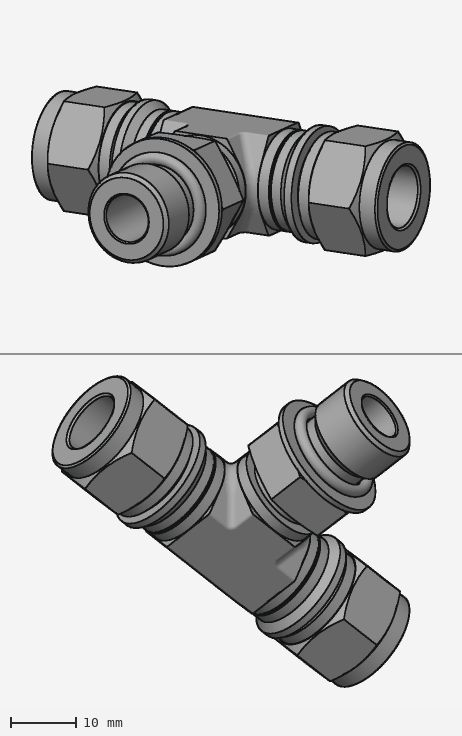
import cadquery as cq
import math


BLOCK_FLATS = 16.0
BLOCK_HALF_LENGTH = 9.3
EDGE_ROUND = 0.5
CROTCH_ROUND = 1.2

HEX_RATIO = math.cos(math.radians(30))

BODY_DIA = 15.8
MARK_GROOVE_DIA = 15.4
MARK_GROOVE_IN = 11.2
MARK_GROOVE_OUT = 11.6
FLANGE_DIA = 18.25
CONE_START = 13.35
FLANGE_IN = 14.65
FLANGE_OUT = 15.9
GAP_DIA = 14.3
COLLAR_DIA = 16.8
COLLAR_IN = 16.7
TUBE_NUT_IN = 18.6
TUBE_NUT_OUT = 27.6
RIM_DIA = 17.0
RUN_END = 30.6
RIM_CHAMFER_LENGTH = 0.25
RIM_CHAMFER_DEPTH = 0.35

NUT_CORNERS = 20.2
NUT_CHAMFER_ANGLE = 30
TUBE_NUT_FACE_DIA = 17.0
LOCK_NUT_FACE_DIA = 17.25
LOCK_NUT_CHAMFER_ANGLE = 14

BRANCH_COLLAR_END = 11.2
NECK_DIA = 12.2
LOCK_NUT_START = 13.4
LOCK_NUT_END = 20.4
WASHER_DIA = 20.2
WASHER_END = 21.3
THREAD_DIA = 14.25
THREAD_CONE_START = 24.3
THREAD_START = 25.4
THREAD_TIP_DIA = 13.05
BRANCH_END = 32.25

RUN_BORE_DIA = 7.1
TUBE_SOCKET_DIA = 9.75
TUBE_SOCKET_MOUTH_DIA = 10.4
TUBE_SOCKET_BOTTOM = 15.4
BRANCH_BORE_DIA = 7.5
BRANCH_MOUTH_DIA = 7.95
BRANCH_BORE_BOTTOM = 2.65
THROAT_DIA = 6.35

RING_SECTION = 1.9
RING_OUTER_DIA = 16.35

TOLERANCE = 0.005

RUN_DIRECTIONS = (cq.Vector(1, 0, 0), cq.Vector(-1, 0, 0))
BRANCH_DIRECTION = cq.Vector(0, -1, 0)
ORIGIN = cq.Vector(0, 0, 0)


def turned(stations, direction):
    """Solid of revolution about `direction` from (distance, diameter) stations."""
    plane = cq.Plane(ORIGIN, xDir=direction, normal=(0, 0, 1))
    outline = [(stations[0][0], 0)]
    outline += [(distance, diameter / 2) for distance, diameter in stations]
    outline += [(stations[-1][0], 0)]
    return cq.Workplane(plane).polyline(outline).close().revolve(360, (0, 0), (1, 0))


def hex_nut(start, end, direction, face_dia, chamfer_angle):
    """Hexagon with flats facing +Z and -Z, both ends chamfered down to `face_dia`."""
    plane = cq.Plane(direction * start, xDir=cq.Vector(0, 0, 1).cross(direction), normal=direction)
    hexagon = cq.Workplane(plane).polygon(6, NUT_CORNERS).extrude(end - start)
    chamfer = (NUT_CORNERS - face_dia) / 2 * math.tan(math.radians(chamfer_angle))
    envelope = turned(
        [
            (start, face_dia),
            (start + chamfer, NUT_CORNERS),
            (end - chamfer, NUT_CORNERS),
            (end, face_dia),
        ],
        direction,
    )
    return hexagon.intersect(envelope)


def block_prism(plane, length, round_both_sides):
    """Hexagonal prism whose negative side corner, or both, is a tangent round."""
    apothem = BLOCK_FLATS / 2
    corner = apothem / HEX_RATIO
    side_u = apothem * HEX_RATIO
    side_v = apothem / 2
    outline = (
        cq.Workplane(plane)
        .moveTo(corner / 2, apothem)
        .lineTo(-corner / 2, apothem)
        .lineTo(-side_u, side_v)
        .threePointArc((-apothem, 0), (-side_u, -side_v))
        .lineTo(-corner / 2, -apothem)
        .lineTo(corner / 2, -apothem)
    )
    if round_both_sides:
        outline = outline.lineTo(side_u, -side_v).threePointArc((apothem, 0), (side_u, side_v))
    else:
        outline = outline.lineTo(corner, 0)
    return outline.close().extrude(length)


def round_crotches(block):
    """Round the two concave corners, which lie in the planes where X and Y are equally far out."""
    crotch = [
        edge
        for edge in block.edges().vals()
        if all(
            math.isclose(abs(edge.positionAt(t).x), -edge.positionAt(t).y, abs_tol=TOLERANCE)
            for t in (0, 0.5, 1)
        )
    ]
    return block.newObject(crotch).fillet(CROTCH_ROUND)


def round_long_edges(block):
    """Round the borders of the top and bottom flats and the back corner of the run."""
    apothem = BLOCK_FLATS / 2
    flat_borders = [
        edge
        for edge in block.edges().vals()
        if math.isclose(abs(edge.Center().z), apothem, abs_tol=TOLERANCE)
        and abs(edge.Center().x) < BLOCK_HALF_LENGTH - TOLERANCE
        and edge.Center().y > TOLERANCE - BLOCK_HALF_LENGTH
    ]
    back_corner = block.edges(">Y").vals()
    return block.newObject(flat_borders + back_corner).fillet(EDGE_ROUND)


def make_block():
    """Run and branch prisms joined, with their edges rounded."""
    run_plane = cq.Plane((-BLOCK_HALF_LENGTH, 0, 0), xDir=(0, 1, 0), normal=(1, 0, 0))
    branch_plane = cq.Plane(ORIGIN, xDir=(1, 0, 0), normal=BRANCH_DIRECTION)
    run = block_prism(run_plane, 2 * BLOCK_HALF_LENGTH, False)
    branch = block_prism(branch_plane, BLOCK_HALF_LENGTH, True)
    block = round_crotches(run.union(branch))
    return round_long_edges(block)


def make_run_end(direction):
    """Turned end of the run with its tube nut."""
    turning = turned(
        [
            (0, BODY_DIA),
            (MARK_GROOVE_IN, BODY_DIA),
            (MARK_GROOVE_IN, MARK_GROOVE_DIA),
            (MARK_GROOVE_OUT, MARK_GROOVE_DIA),
            (MARK_GROOVE_OUT, BODY_DIA),
            (CONE_START, BODY_DIA),
            (FLANGE_IN, FLANGE_DIA),
            (FLANGE_OUT, FLANGE_DIA),
            (FLANGE_OUT, GAP_DIA),
            (COLLAR_IN, GAP_DIA),
            (COLLAR_IN, COLLAR_DIA),
            (TUBE_NUT_IN, COLLAR_DIA),
            (TUBE_NUT_IN, RIM_DIA),
            (RUN_END - RIM_CHAMFER_LENGTH, RIM_DIA),
            (RUN_END, RIM_DIA - 2 * RIM_CHAMFER_DEPTH),
        ],
        direction,
    )
    nut = hex_nut(TUBE_NUT_IN, TUBE_NUT_OUT, direction, TUBE_NUT_FACE_DIA, NUT_CHAMFER_ANGLE)
    return turning.union(nut)


def make_branch():
    """Collar, neck, lock nut, washer and threaded stub."""
    tip_chamfer = (THREAD_DIA - THREAD_TIP_DIA) / 2
    turning = turned(
        [
            (0, BODY_DIA),
            (BRANCH_COLLAR_END, BODY_DIA),
            (BRANCH_COLLAR_END, NECK_DIA),
            (LOCK_NUT_END, NECK_DIA),
            (LOCK_NUT_END, WASHER_DIA),
            (WASHER_END, WASHER_DIA),
            (WASHER_END, NECK_DIA),
            (THREAD_CONE_START, NECK_DIA),
            (THREAD_START, THREAD_DIA),
            (BRANCH_END - tip_chamfer, THREAD_DIA),
            (BRANCH_END, THREAD_TIP_DIA),
        ],
        BRANCH_DIRECTION,
    )
    nut = hex_nut(
        LOCK_NUT_START, LOCK_NUT_END, BRANCH_DIRECTION, LOCK_NUT_FACE_DIA, LOCK_NUT_CHAMFER_ANGLE
    )
    return turning.union(nut)


def bore(bore_dia, mouth_dia, start, end, direction):
    """Cutter for a bore with a 45 degree chamfer at its mouth."""
    chamfer = (mouth_dia - bore_dia) / 2
    return turned([(start, bore_dia), (end - chamfer, bore_dia), (end, mouth_dia)], direction)


def throat():
    """Cutter from the run bore to the branch bore, its lip flared by a quarter round."""
    bore_radius = BRANCH_BORE_DIA / 2
    throat_radius = THROAT_DIA / 2
    lip_round = bore_radius - throat_radius
    plane = cq.Plane(ORIGIN, xDir=BRANCH_DIRECTION, normal=(0, 0, 1))
    return (
        cq.Workplane(plane)
        .lineTo(0, throat_radius)
        .lineTo(BRANCH_BORE_BOTTOM - lip_round, throat_radius)
        .tangentArcPoint((BRANCH_BORE_BOTTOM, bore_radius), relative=False)
        .lineTo(BRANCH_BORE_BOTTOM, 0)
        .close()
        .revolve(360, (0, 0), (1, 0))
    )


def make_fitting():
    """Tee with its nuts, washer and bores."""
    fitting = make_block().union(make_branch())
    for direction in RUN_DIRECTIONS:
        fitting = fitting.union(make_run_end(direction))
    for direction in RUN_DIRECTIONS:
        fitting = fitting.cut(turned([(0, RUN_BORE_DIA), (RUN_END, RUN_BORE_DIA)], direction))
        fitting = fitting.cut(
            bore(TUBE_SOCKET_DIA, TUBE_SOCKET_MOUTH_DIA, TUBE_SOCKET_BOTTOM, RUN_END, direction)
        )
    branch_bore = bore(
        BRANCH_BORE_DIA, BRANCH_MOUTH_DIA, BRANCH_BORE_BOTTOM, BRANCH_END, BRANCH_DIRECTION
    )
    return fitting.cut(branch_bore).cut(throat())


def make_o_ring():
    """Ring around the neck, seated against the washer."""
    centre_radius = (RING_OUTER_DIA - RING_SECTION) / 2
    centre_distance = WASHER_END + RING_SECTION / 2
    return (
        cq.Workplane("XY")
        .center(centre_radius, -centre_distance)
        .circle(RING_SECTION / 2)
        .revolve(360, (-centre_radius, 0), (-centre_radius, 1))
    )


fitting = make_fitting()
o_ring = make_o_ring()
result = cq.Compound.makeCompound([fitting.val(), o_ring.val()])